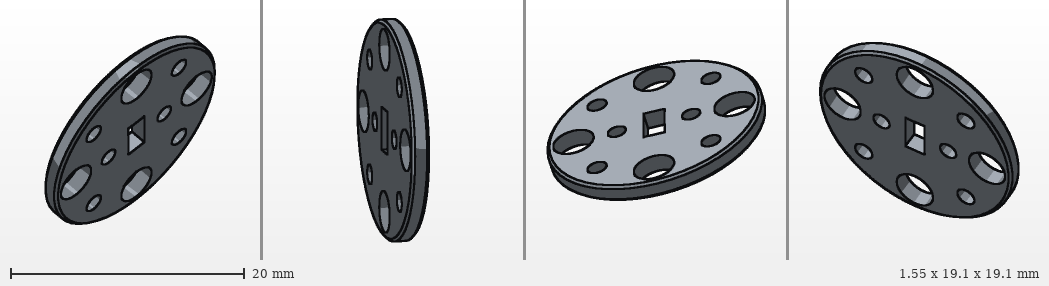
import cadquery as cq

disc_diameter = 19.05
disc_thickness = 1.55
rim_chamfer = 0.25

bolt_circle_radius = 7.15
large_hole_diameter = 3.58
small_hole_diameter = 1.7
holes_per_set = 4
small_hole_start_angle = 180 / holes_per_set

pin_hole_diameter = 1.6
pin_hole_offset = 3.3
pin_hole_count = 2

window_width = 1.89
window_height = 2 * window_width


def drill_ring(body, radius, start_angle, count, diameter):
    """Cut evenly spaced through holes on a circle about the disc axis."""
    return (
        body.faces(">X")
        .workplane(origin=(0, 0, 0))
        .polarArray(radius, start_angle, 360, count)
        .hole(diameter)
    )


disc = (
    cq.Workplane("YZ", origin=(-disc_thickness / 2, 0, 0))
    .circle(disc_diameter / 2)
    .extrude(disc_thickness)
    .edges("%CIRCLE")
    .chamfer(rim_chamfer)
)

disc = drill_ring(disc, bolt_circle_radius, 0, holes_per_set, large_hole_diameter)
disc = drill_ring(
    disc, bolt_circle_radius, small_hole_start_angle, holes_per_set, small_hole_diameter
)
disc = drill_ring(disc, pin_hole_offset, 0, pin_hole_count, pin_hole_diameter)

window = cq.Workplane("XY").box(disc_thickness, window_width, window_height)
result = disc.cut(window)